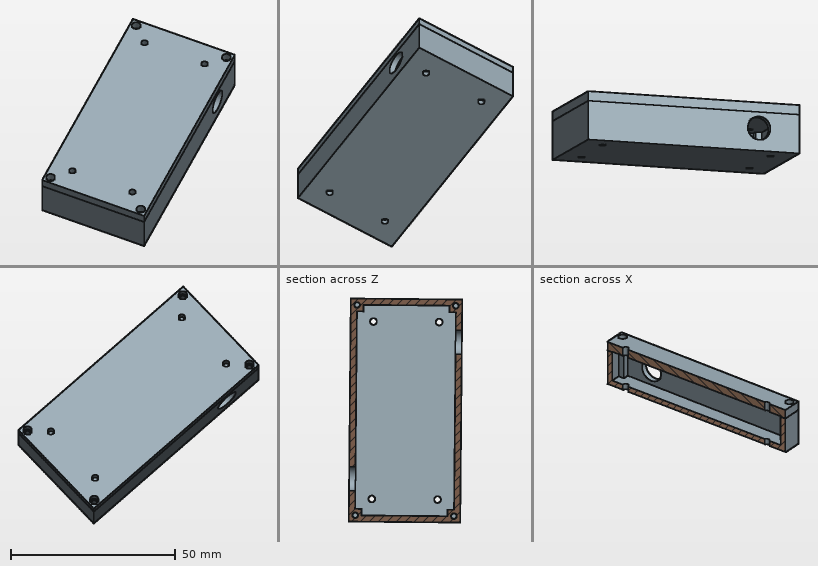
import cadquery as cq
import math

overall_length = 68.3
turn_angle = 0.53
turn = math.radians(turn_angle)

width = 34.0
length = (overall_length - width * math.sin(turn)) / math.cos(turn)
total_height = 15.0
lid_thickness = 3.0
base_height = total_height - lid_thickness
wall = 2.0
floor_thickness = 2.0

screw_inset = 2.0
screw_spacing_x = width - 2 * screw_inset
screw_spacing_y = length - 2 * screw_inset
clearance_diameter = 2.65
pilot_diameter = 1.65
pilot_depth = base_height - floor_thickness

mount_spacing_x = 20.0
mount_spacing_y = 54.0
mount_diameter = 2.0

post_size = 2 * screw_inset

cable_diameter = 7.25
cable_end_distance = 13.05
cable_height = 7.0


def four_holes(spacing_x, spacing_y, diameter, bottom, depth):
    """Vertical cylinders at the corners of a centred rectangle."""
    return (
        cq.Workplane("XY", origin=(0, 0, bottom))
        .rect(spacing_x, spacing_y, forConstruction=True)
        .vertices()
        .circle(diameter / 2)
        .extrude(depth)
    )


def mount_holes():
    return four_holes(mount_spacing_x, mount_spacing_y, mount_diameter, 0, total_height)


def cable_openings():
    opening = (
        cq.Workplane("YZ", origin=(-width / 2, 0, 0))
        .center(-length / 2 + cable_end_distance, cable_height)
        .circle(cable_diameter / 2)
        .extrude(wall)
    )
    opposite = opening.rotate((0, 0, 0), (0, 0, 1), 180)
    return opening.add(opposite).combine()


def corner_posts():
    return (
        cq.Workplane("XY", origin=(0, 0, floor_thickness))
        .rect(screw_spacing_x, screw_spacing_y, forConstruction=True)
        .vertices()
        .rect(post_size, post_size)
        .extrude(base_height - floor_thickness)
    )


def turned(body):
    return body.rotate((0, 0, 0), (0, 0, 1), -turn_angle)


def make_base():
    """Open-topped box with a floor, screw posts and two cable openings."""
    body = cq.Workplane("XY").rect(width, length).extrude(base_height)
    cavity = (
        cq.Workplane("XY", origin=(0, 0, floor_thickness))
        .rect(width - 2 * wall, length - 2 * wall)
        .extrude(base_height - floor_thickness)
    )
    pilots = four_holes(
        screw_spacing_x, screw_spacing_y, pilot_diameter, base_height - pilot_depth, pilot_depth
    )
    shell = body.cut(cavity).union(corner_posts())
    return turned(shell.cut(pilots).cut(mount_holes()).cut(cable_openings()))


def make_lid():
    """Flat plate closing the box, with screw clearance and mounting holes."""
    plate = cq.Workplane("XY", origin=(0, 0, base_height)).rect(width, length).extrude(lid_thickness)
    clearances = four_holes(
        screw_spacing_x, screw_spacing_y, clearance_diameter, base_height, lid_thickness
    )
    return turned(plate.cut(clearances).cut(mount_holes()))


base = make_base()
lid = make_lid()
result = cq.Compound.makeCompound([base.val(), lid.val()])